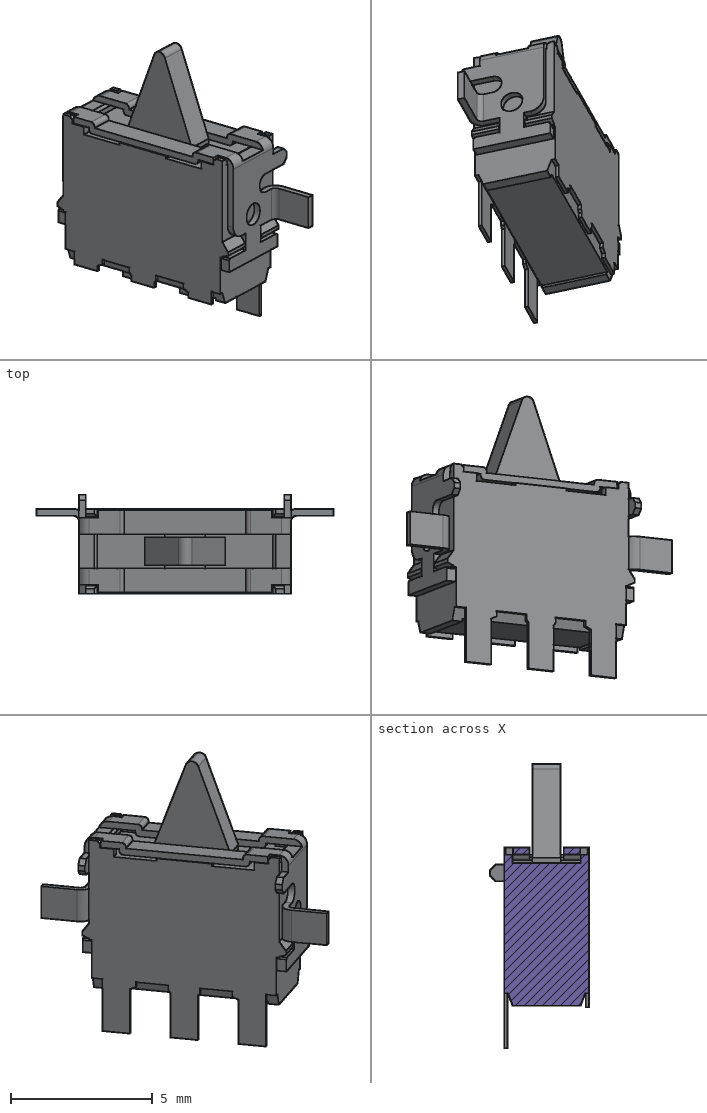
import cadquery as cq
import math

frame_top = 5.5
body_depth = 3.0
sheet = 0.25
frame_half_x = 3.75
body_half_x = frame_half_x - sheet
base_half_x = 3.4
half_y = body_depth / 2
deck_z = frame_top - sheet

base_top = 1.77
ledge_z = 0.35
taper_top_inset = 0.13
taper_bottom_inset = 0.3
end_bar_bottom = -0.1
end_bar_half_gap = 3.0

window_half_x = 2.58
window_floor = 4.96
cavity_half_x = 3.1
cavity_half_y = 1.2
cavity_chamfer = 0.1
channel_half_y = 0.6
pad_half_x = 1.02
centre_pad_half_x = 0.71
post_chamfer = 0.1
post_gap = 0.03

wedge_inner_y = 0.49
wedge_top = 2.38
wedge_upper_tip = 2.05
wedge_lower_tip = 1.91

bend_radius = 0.35
strap_drop = 0.2
strap_top = frame_top - strap_drop
step_x = 2.15
step_radius = 0.16
strap_half_y = 1.45
notch_x = 3.07
wall_half_y = 1.19
wall_bottom = 2.41
wall_corner_radius = 0.5
neck_half_y = 0.45
crossbar_half_y = 1.44
crossbar_bottom = 1.26
crossbar_corner = 0.06
hole_diameter = 0.8
hole_z = 3.0

tab_reach = 2.0
tab_top = 4.9
tab_bottom = 4.3
tab_chamfer = 0.2
slot_bottom = 3.6
slot_radius = (tab_bottom - slot_bottom) / 2
slot_end_y = 0.38

leg_reach = 5.25
leg_bend_inner = 0.19
leg_bend_outer = leg_bend_inner + sheet

foot_pitch = 2.5
foot_half_width = 0.5
foot_bottom = -0.15
foot_thickness = 0.12
foot_neck_z = 0.05
foot_flare_z = 0.15
outer_foot_flare = 0.22
centre_foot_flare = 0.08
terminal_bottom = -1.6

lever_top = 8.45
lever_tip_radius = 0.25
lever_flank_angle = math.radians(20.6)
lever_half_x = 1.42
lever_half_y = 0.5


def box(x0, x1, y0, y1, z0, z1):
    """Axis-aligned block between two opposite corners."""
    return cq.Workplane("XY").box(x1 - x0, y1 - y0, z1 - z0, centered=False).translate((x0, y0, z0))


def centred_box(half_x, half_y_size, z0, z1):
    """Block centred on the Z axis."""
    return box(-half_x, half_x, -half_y_size, half_y_size, z0, z1)


def along_y(sketch, y0, y1):
    """Extrude an XZ-plane outline from y0 to y1."""
    return sketch.extrude(y0 - y1).translate((0, y0, 0))


def mirrored_x(shape):
    """The shape together with its mirror image across the YZ plane."""
    return shape.union(shape.mirror("YZ"))


def mirrored_y(shape):
    """The shape together with its mirror image across the XZ plane."""
    return shape.union(shape.mirror("XZ"))


def make_base():
    """Lower body with a tapered underside and a bar at each end."""
    top_y = half_y - taper_top_inset
    bottom_y = half_y - taper_bottom_inset
    base = (
        cq.Workplane("YZ")
        .polyline([
            (-half_y, base_top), (-half_y, ledge_z), (-top_y, ledge_z), (-bottom_y, end_bar_bottom),
            (bottom_y, end_bar_bottom), (top_y, ledge_z), (half_y, ledge_z), (half_y, base_top),
        ])
        .close()
        .extrude(base_half_x, both=True)
    )
    return base.cut(centred_box(end_bar_half_gap, half_y, end_bar_bottom, 0))


def wall_disc(y, z, radius):
    """Disc that fills the thickness of the +X end wall."""
    return cq.Workplane("YZ", origin=(body_half_x, y, z)).circle(radius).extrude(sheet)


def make_corner_post():
    """Post in a notch of the frame top, chamfered towards the frame."""
    post = box(notch_x + post_gap, body_half_x, wall_half_y + post_gap, half_y, deck_z, frame_top)
    return post.faces(">Z").edges("<X or <Y").chamfer(post_chamfer)


def make_housing():
    """Upper body with strap windows, chamfered cavity, pads and corner posts."""
    housing = centred_box(body_half_x, half_y, base_top, deck_z)
    housing = housing.cut(centred_box(window_half_x, half_y, window_floor, deck_z))
    flared_half_x = cavity_half_x + cavity_chamfer
    chamfer_z = deck_z - cavity_chamfer
    cavity = (
        cq.Workplane("XZ")
        .polyline([
            (-cavity_half_x, window_floor), (cavity_half_x, window_floor), (cavity_half_x, chamfer_z),
            (flared_half_x, deck_z), (-flared_half_x, deck_z), (-cavity_half_x, chamfer_z),
        ])
        .close()
    )
    housing = housing.cut(along_y(cavity, -cavity_half_y, cavity_half_y))
    pad_top = strap_top - sheet
    side_pad = box(-pad_half_x, pad_half_x, cavity_half_y, half_y, window_floor, pad_top)
    housing = housing.union(mirrored_y(side_pad))
    housing = housing.union(centred_box(centre_pad_half_x, cavity_half_y, window_floor, pad_top))
    return housing.union(mirrored_y(mirrored_x(make_corner_post())))


def make_wedge():
    """Latch wedge that fills the frame opening beside the neck."""
    profile = (
        cq.Workplane("XZ")
        .polyline([
            (base_half_x, base_top), (frame_half_x, wedge_lower_tip),
            (frame_half_x, wedge_upper_tip), (body_half_x, wedge_top), (base_half_x, wedge_top),
        ])
        .close()
    )
    return along_y(profile, wedge_inner_y, half_y)


def make_frame_top():
    """Bent frame sheet over the body, split into two stepped straps."""
    inner_step_x = step_x + sheet
    strap_bottom = strap_top - sheet
    outline = (
        cq.Workplane("XZ")
        .moveTo(-frame_half_x, wall_bottom)
        .lineTo(-frame_half_x, frame_top)
        .lineTo(-step_x, frame_top)
        .lineTo(-step_x, strap_top)
        .lineTo(step_x, strap_top)
        .lineTo(step_x, frame_top)
        .lineTo(frame_half_x, frame_top)
        .lineTo(frame_half_x, wall_bottom)
        .lineTo(body_half_x, wall_bottom)
        .lineTo(body_half_x, deck_z)
        .lineTo(inner_step_x, deck_z)
        .lineTo(inner_step_x, strap_bottom)
        .lineTo(-inner_step_x, strap_bottom)
        .lineTo(-inner_step_x, deck_z)
        .lineTo(-body_half_x, deck_z)
        .lineTo(-body_half_x, wall_bottom)
        .close()
    )
    frame = along_y(outline, -strap_half_y, strap_half_y)
    rounded_corners = [
        (frame_half_x, frame_top, bend_radius),
        (step_x, frame_top, step_radius),
        (inner_step_x, strap_bottom, step_radius),
    ]
    for corner_x, corner_z, radius in rounded_corners:
        for x in (-corner_x, corner_x):
            frame = frame.edges(cq.selectors.NearestToPointSelector((x, 0, corner_z))).fillet(radius)
    notch = box(notch_x, frame_half_x, wall_half_y, strap_half_y, wall_bottom, frame_top)
    frame = frame.cut(mirrored_y(mirrored_x(notch)))
    frame = frame.cut(centred_box(frame_half_x, channel_half_y, deck_z, frame_top))
    return frame.cut(centred_box(cavity_half_x, channel_half_y, strap_bottom, deck_z))


def cut_wall_openings(frame):
    """Cut the rounded wall corner, the slot below the tab, the leg relief and the hole on both ends."""
    round_y = wall_corner_radius - wall_half_y
    round_z = wall_bottom + wall_corner_radius
    corner = box(body_half_x, frame_half_x, -wall_half_y, round_y, wall_bottom, round_z)
    corner = corner.cut(wall_disc(round_y, round_z, wall_corner_radius))

    slot_y = slot_end_y + slot_radius
    slot = box(body_half_x, frame_half_x, slot_y, half_y, slot_bottom, tab_bottom)
    slot = slot.union(wall_disc(slot_y, slot_bottom + slot_radius, slot_radius))

    bend_y = half_y - leg_bend_outer
    leg_relief = box(body_half_x, frame_half_x, bend_y, half_y, wall_bottom, slot_bottom)
    hole = wall_disc(0, hole_z, hole_diameter / 2)
    for opening in (corner, slot, leg_relief, hole):
        frame = frame.cut(mirrored_x(opening))
    return frame


def make_wall_extensions():
    """Neck, crossbar and locating tab of one end wall."""
    neck = box(base_half_x, frame_half_x, -neck_half_y, neck_half_y, crossbar_bottom, wall_bottom)
    crossbar = box(
        base_half_x, frame_half_x, -crossbar_half_y, crossbar_half_y, crossbar_bottom, base_top
    )
    crossbar = crossbar.edges("|X and >Z").chamfer(crossbar_corner)
    tab = box(body_half_x, frame_half_x, 0, tab_reach, tab_bottom, tab_top)
    tab = tab.edges("|X and >Y").chamfer(tab_chamfer)
    return neck.union(crossbar).union(tab)


def make_leg():
    """Leg that bends outward from the frame wall; the wall ends where the bend starts."""
    bend_y = half_y - leg_bend_outer
    bend_x = frame_half_x + leg_bend_inner
    diagonal = math.sqrt(0.5)
    inner_mid = (bend_x - leg_bend_inner * diagonal, bend_y + leg_bend_inner * diagonal)
    outer_mid = (bend_x - leg_bend_outer * diagonal, bend_y + leg_bend_outer * diagonal)
    return (
        cq.Workplane("XY", origin=(0, 0, wall_bottom))
        .moveTo(frame_half_x, bend_y)
        .threePointArc(inner_mid, (bend_x, half_y - sheet))
        .lineTo(leg_reach, half_y - sheet)
        .lineTo(leg_reach, half_y)
        .lineTo(bend_x, half_y)
        .threePointArc(outer_mid, (body_half_x, bend_y))
        .close()
        .extrude(slot_bottom - wall_bottom)
    )


def make_feet():
    """Three feet on both long faces, each flared where it meets the body."""
    inner_y = half_y - foot_thickness

    def foot(x, left_flare, right_flare):
        left = x - foot_half_width
        right = x + foot_half_width
        outline = (
            cq.Workplane("XZ")
            .polyline([
                (left, foot_bottom), (right, foot_bottom), (right, foot_neck_z),
                (right + right_flare, foot_flare_z), (right + right_flare, ledge_z),
                (left - left_flare, ledge_z), (left - left_flare, foot_flare_z), (left, foot_neck_z),
            ])
            .close()
        )
        return along_y(outline, inner_y, half_y)

    feet = foot(0, centre_foot_flare, centre_foot_flare)
    feet = feet.union(mirrored_x(foot(foot_pitch, outer_foot_flare, 0)))
    return mirrored_y(feet)


def make_terminals():
    """Three solder terminals that continue the feet of the back face."""
    terminals = cq.Workplane("XY")
    for x in (-foot_pitch, 0, foot_pitch):
        terminals = terminals.union(
            box(
                x - foot_half_width, x + foot_half_width, half_y - foot_thickness, half_y,
                terminal_bottom, foot_bottom,
            )
        )
    return terminals


def make_lever():
    """Wedge-shaped lever with a rounded tip and a short upright foot."""
    tip_z = lever_top - lever_tip_radius
    tangent_x = lever_tip_radius * math.cos(lever_flank_angle)
    tangent_z = tip_z + lever_tip_radius * math.sin(lever_flank_angle)
    flank_foot_z = tangent_z - (lever_half_x - tangent_x) / math.tan(lever_flank_angle)
    outline = (
        cq.Workplane("XZ")
        .moveTo(-lever_half_x, window_floor)
        .lineTo(lever_half_x, window_floor)
        .lineTo(lever_half_x, flank_foot_z)
        .lineTo(tangent_x, tangent_z)
        .threePointArc((0, lever_top), (-tangent_x, tangent_z))
        .lineTo(-lever_half_x, flank_foot_z)
        .close()
    )
    return along_y(outline, -lever_half_y, lever_half_y)


frame = cut_wall_openings(make_frame_top())
frame = frame.union(mirrored_x(make_wall_extensions().union(make_leg())))
housing = make_base().union(make_housing()).union(mirrored_y(mirrored_x(make_wedge())))
result = housing.union(frame).union(make_feet()).union(make_terminals()).union(make_lever())